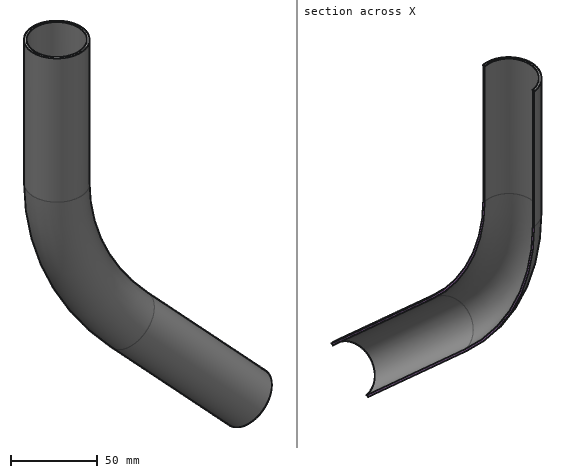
import cadquery as cq
import math

height = 294.7
depth = 149.0
outer_diameter = 38.0
inner_diameter = 34.8
bend_radius = 152.0
bend_angle = 45.0

outer_radius = outer_diameter / 2
sin_bend = math.sin(math.radians(bend_angle))
cos_bend = math.cos(math.radians(bend_angle))

bend_depth = bend_radius * (1 - cos_bend)
lower_leg = (depth - outer_radius * (1 + cos_bend) - bend_depth) / sin_bend

bend_height = bend_radius * sin_bend
upper_leg = height - bend_height - lower_leg * cos_bend - outer_radius * sin_bend

bend_start_z = -upper_leg
half_angle = math.radians(bend_angle / 2)
bend_middle = (
    bend_radius * (1 - math.cos(half_angle)),
    bend_start_z - bend_radius * math.sin(half_angle),
)
bend_end = (bend_depth, bend_start_z - bend_height)
lower_end = (
    bend_end[0] + lower_leg * sin_bend,
    bend_end[1] - lower_leg * cos_bend,
)
centreline = (
    cq.Workplane("YZ")
    .moveTo(0, 0)
    .lineTo(0, bend_start_z)
    .threePointArc(bend_middle, bend_end)
    .lineTo(*lower_end)
)

result = (
    cq.Workplane("XY")
    .circle(outer_radius)
    .circle(inner_diameter / 2)
    .sweep(centreline)
)